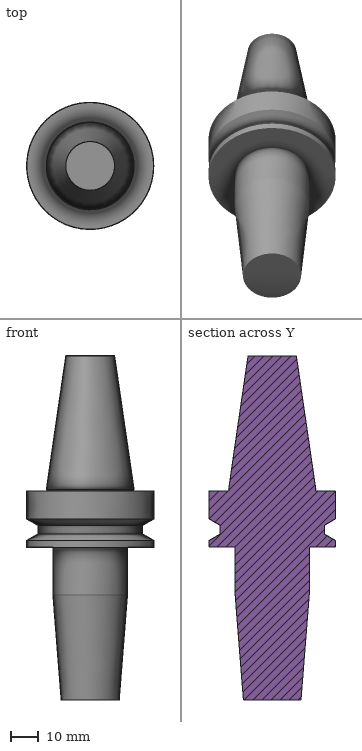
import cadquery as cq
import math


gauge_radius = 31.75 / 2
shank_length = 48.4
shank_half_taper = 7 / 48
shank_tip_radius = gauge_radius - shank_length * shank_half_taper

neck_radius = 31.4 / 2
neck_length = 0.5

flange_radius = 46.0 / 2
flange_thickness = 20.4
groove_radius = 38.0 / 2
groove_floor_width = 3.2
groove_flank_angle = 30.0
lower_rim_thickness = 2.45
groove_flank_height = (flange_radius - groove_radius) * math.tan(math.radians(groove_flank_angle))

overall_length = 124.6
nose_radius = 27.0 / 2
nose_tip_radius = 21.0 / 2
nose_taper_angle = 4.5
nose_taper_length = (nose_radius - nose_tip_radius) / math.tan(math.radians(nose_taper_angle))

shank_tip_z = shank_length
flange_top_z = -neck_length
flange_bottom_z = flange_top_z - flange_thickness
lower_flank_bottom_z = flange_bottom_z + lower_rim_thickness
groove_floor_bottom_z = lower_flank_bottom_z + groove_flank_height
groove_floor_top_z = groove_floor_bottom_z + groove_floor_width
upper_flank_top_z = groove_floor_top_z + groove_flank_height
nose_tip_z = shank_tip_z - overall_length
nose_taper_z = nose_tip_z + nose_taper_length


def turned_body(profile):
    """Revolve a closed (radius, height) profile around the Z axis."""
    return cq.Workplane("XZ").polyline(profile).close().revolve(360, (0, 0, 0), (0, 1, 0))


shank_profile = [
    (0, shank_tip_z),
    (shank_tip_radius, shank_tip_z),
    (gauge_radius, 0),
    (neck_radius, 0),
    (neck_radius, flange_top_z),
]

flange_profile = [
    (flange_radius, flange_top_z),
    (flange_radius, upper_flank_top_z),
    (groove_radius, groove_floor_top_z),
    (groove_radius, groove_floor_bottom_z),
    (flange_radius, lower_flank_bottom_z),
    (flange_radius, flange_bottom_z),
]

nose_profile = [
    (nose_radius, flange_bottom_z),
    (nose_radius, nose_taper_z),
    (nose_tip_radius, nose_tip_z),
    (0, nose_tip_z),
]

result = turned_body(shank_profile + flange_profile + nose_profile)